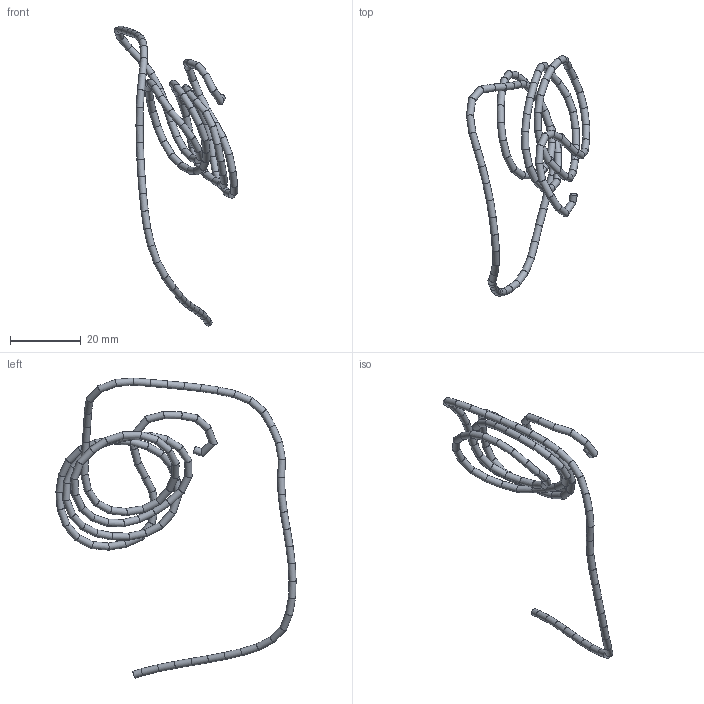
import cadquery as cq

WIRE_DIAMETER = 2.0
LINK_COUNT = 119

LOWER_ARM = [
    (9.15, 11.8, -41.3),
    (6.65, 0.0, -38.5),
    (1.85, -18.95, -34.85),
    (0.7, -23.35, -33.45),
    (-2.9, -29.95, -28.65),
]
UPRIGHT = [
    (-5.25, -31.8, -24.35),
    (-9.4, -31.85, -4.4),
    (-10.3, -29.65, 15.65),
    (-10.25, -29.85, 19),
    (-9.4, -26.85, 29.05),
    (-9, -23.8, 33.7),
]
TOP_ARM = [
    (-9.45, -16.35, 37.75),
    (-9.9, -12.25, 38.65),
    (-14.35, 7.5, 40.9),
    (-16.4, 17.45, 40.75),
    (-14.45, 23.6, 37.4),
]
FIRST_TURN = [
    (-10.4, 24.8, 33.2),
    (-4.45, 25.4, 24),
    (0.45, 24.8, 10.55),
    (2.25, 22.7, 7.3),
    (6.25, 13.65, 4.5),
    (6.35, 5.4, 7.1),
    (1.8, 0.35, 14.35),
    (-1.5, 0.1, 18.15),
    (-5.95, 5.45, 24.75),
    (-7.75, 19.65, 24.6),
    (-7.35, 24.1, 21.5),
    (-6.4, 27.6, 17.45),
    (-1.3, 26.75, 5.85),
    (4.25, 18.9, 1.45),
    (5.8, 14.9, 1.35),
]
SECOND_TURN = [
    (7.55, 11, 2.3),
    (8.45, 2.4, 7),
    (8.15, -1.4, 10.35),
    (4.65, -3.55, 18.45),
    (0.1, 3.25, 25.1),
    (-0.85, 11.9, 25.9),
    (2.7, 28.8, 17.3),
    (4.55, 31, 8.4),
    (6.45, 28.8, 2.95),
    (11.25, 22.15, -1.55),
]
THIRD_TURN = [
    (13.1, 3.75, 1.15),
    (11.85, -0.4, 8.2),
    (8.45, 1.55, 17.75),
    (5.6, 4.4, 21),
    (3.35, 21.95, 24.1),
    (6.8, 30.45, 18.55),
    (9.7, 32.85, 10.3),
    (11.25, 30.95, 1),
    (14.35, 24.2, -4.65),
    (16.35, 14.45, -4.5),
]
HOOK = [
    (16.35, 9.95, -2.55),
    (14.9, 5.85, 6.1),
    (6.6, 11.85, 22.7),
    (3.6, 8.75, 30.25),
    (4.1, -1.6, 31.7),
    (6.65, -6.15, 30.65),
    (11.3, -9.95, 22.65),
    (12.2, -8.3, 21.4),
    (12.85, -5.2, 22),
]
WAYPOINTS = LOWER_ARM + UPRIGHT + TOP_ARM + FIRST_TURN + SECOND_TURN + THIRD_TURN + HOOK


def link_joints(curve):
    """Return the ends of the links, evenly spaced along the curve but for a half link at each end."""
    full_link = 1.0 / (LINK_COUNT - 1)
    inner_joints = [(i + 0.5) * full_link for i in range(LINK_COUNT - 1)]
    return curve.positions([0.0] + inner_joints + [1.0])


def mitred_wire(joints):
    """Sweep the round section along the straight links between the joints, with sharp mitres."""
    path = cq.Wire.makePolygon(joints)
    start_plane = cq.Plane(origin=joints[0], normal=joints[1] - joints[0])
    section = cq.Workplane(start_plane).circle(WIRE_DIAMETER / 2)
    return section.sweep(cq.Workplane(path), transition="right")


guide_curve = cq.Edge.makeSpline([cq.Vector(*point) for point in WAYPOINTS])
result = mitred_wire(link_joints(guide_curve))